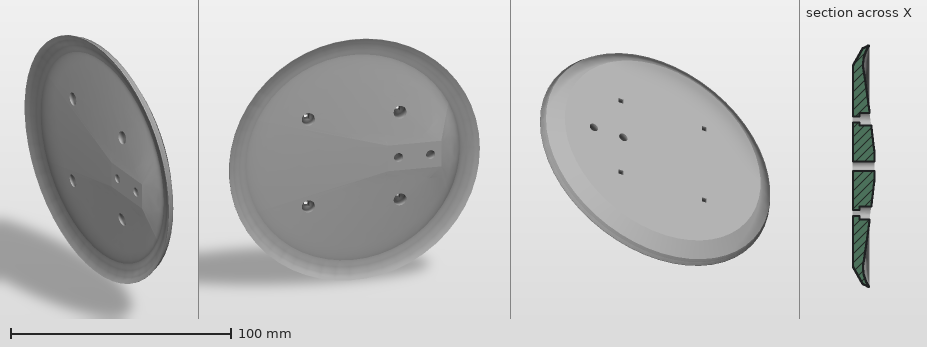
import cadquery as cq
import math

rim_radius = 58.7
inner_radius = 100.0 / 2
rim_height = 7.8
rim_edge_width = 0.4
shoulder_radius = 57.3
shoulder_height = 4.5
step_radius = 57.9
step_height = 6.0
dish_depth = 3.0
floor_height = rim_height - dish_depth

overall_depth = 10.0
pad_length = 25.0
pad_width = pad_length / 2
pad_center_x = 27.6
mound_height = overall_depth - floor_height

pad_hole_diameter = 4.2
pad_hole_spacing = 15.0
screw_hole_side = 2.5
screw_head_diameter = 6.0
screw_pitch = 42.5
screw_seat_height = 3.3


def front_plane(height, center_x=0):
    """Plane facing the front (-Y), at the given height above the back."""
    return cq.Plane(origin=(center_x, -height, 0), xDir=(1, 0, 0), normal=(0, -1, 0))


def make_disc():
    """Revolved disc with a stepped outer flank and a concave front rim."""
    dish_width = rim_radius - inner_radius
    arc_radius = (dish_width**2 + dish_depth**2) / (2 * dish_depth)
    half_sweep = math.asin(dish_width / arc_radius) / 2
    arc_middle = (
        inner_radius + arc_radius * math.sin(half_sweep),
        -floor_height - arc_radius * (1 - math.cos(half_sweep)),
    )
    profile = (
        cq.Workplane("XY")
        .lineTo(inner_radius, 0)
        .lineTo(shoulder_radius, -shoulder_height)
        .lineTo(step_radius, -step_height)
        .lineTo(rim_radius, -(rim_height - rim_edge_width))
        .lineTo(rim_radius, -rim_height)
        .threePointArc(arc_middle, (inner_radius, -floor_height))
        .lineTo(0, -floor_height)
        .close()
    )
    return profile.revolve(360, (0, 0, 0), (0, 1, 0))


def make_mound():
    """Ruled blend from the floor circle to the rectangular pad."""
    diagonal = math.atan2(pad_width, pad_length)
    x = inner_radius * math.cos(diagonal)
    z = inner_radius * math.sin(diagonal)
    circle = (
        cq.Workplane(front_plane(floor_height))
        .moveTo(-x, -z)
        .threePointArc((0, -inner_radius), (x, -z))
        .threePointArc((inner_radius, 0), (x, z))
        .threePointArc((0, inner_radius), (-x, z))
        .threePointArc((-inner_radius, 0), (-x, -z))
        .close()
    )
    half_length = pad_length / 2
    half_width = pad_width / 2
    pad = (
        cq.Workplane(front_plane(floor_height + mound_height, pad_center_x))
        .moveTo(-half_length, -half_width)
        .lineTo(half_length, -half_width)
        .lineTo(half_length, half_width)
        .lineTo(-half_length, half_width)
        .close()
    )
    return cq.Workplane(cq.Solid.makeLoft([circle.val(), pad.val()], True))


def make_pad_holes():
    """Two through holes in the pad."""
    return (
        cq.Workplane(front_plane(0, pad_center_x))
        .rarray(pad_hole_spacing, 1.2, 2, 1)
        .circle(pad_hole_diameter / 2)
        .extrude(overall_depth)
    )


def make_screw_holes():
    """Four square through holes, round-counterbored from the front."""
    shanks = (
        cq.Workplane(front_plane(0))
        .rarray(screw_pitch, screw_pitch, 2, 2)
        .rect(screw_hole_side, screw_hole_side)
        .extrude(overall_depth)
    )
    heads = (
        cq.Workplane(front_plane(screw_seat_height))
        .rarray(screw_pitch, screw_pitch, 2, 2)
        .circle(screw_head_diameter / 2)
        .extrude(overall_depth)
    )
    return shanks.union(heads)


body = make_disc().union(make_mound())
result = body.cut(make_pad_holes()).cut(make_screw_holes())